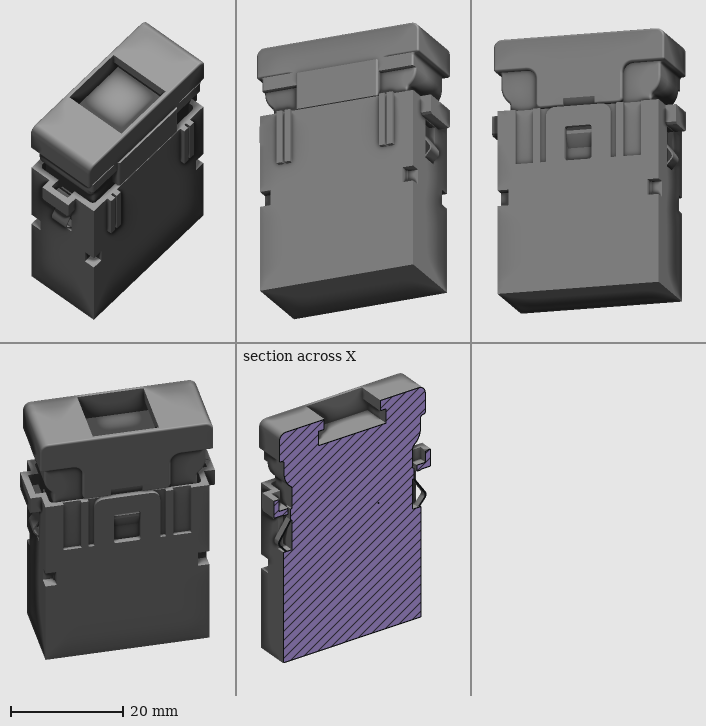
import cadquery as cq
import math

total_height = 46.95
body_width = 14.65
body_length = 30.0
body_height = 33.65
lug_reach = 1.995

end_wall = 1.1
side_wall = 1.05
socket_floor = 22.6
socket_corner = 0.85

recess_depth = 0.7
recess_floor = 23.65
pad_near = 8.4
pad_far = 11.7
slot_near = 6.0
slot_far = 7.1
tongue_corner = 1.7
slot_corner = 0.15
window_width = 5.0
window_top = 29.95
window_corner = 0.45

notch_width = 2.1
notch_length = 2.05
notch_bottom = 16.2
notch_height = 2.85
post_width = 0.5
post_length = 0.25

rib_reach = 0.95
rib_thickness = 1.1
rib_centres = (9.25, 10.8)

lug_height = 3.55
lug_wall = 1.17
lug_chamfer = 0.38
front_lug_width = 6.1
rear_lug_width = 8.15
arrow_size = 0.95
arrow_depth = 0.1
clip_slot_width = 4.15
clip_width = 3.4
clip_sheet = 0.35
clip_tip_radius = 1.05
clip_inner_radius = 0.75
clip_top = 31.0
clip_root = (-13.45, 28.75)
clip_tip = (-16.3, 24.6)
clip_end = (-14.55, 22.65)

cap_min_x = -6.9
cap_max_x = 6.95
cap_half_length = 15.85
cap_bottom = 41.15
cap_top_radius = 1.5
cap_bottom_radius = 0.38
side_edge_radius = 0.38
apron_half = 8.05
apron_gap = 0.2
apron_inner_radius = 1.9
apron_outer_radius = 0.85
outer_apron_reach = 0.38
outer_apron_top = 40.8
neck_half_width = 5.77
neck_half_length = 14.85
foot_half_length = 13.15
neck_edge_radius = 0.4
neck_flare = 0.5
shoulder_top = 38.5
shoulder_radius = 3.8
ankle_radius = 0.9
neck_step = 38.65

label_width = 12.2
label_length = 12.1
label_depth = 5.0
label_lip = 2.15
label_undercut = 1.17
latch_half_width = 2.9
latch_height = 1.4
latch_depth = 0.75
hook_width = 4.7
hook_top = 29.25
hook_nose = 28.65
hook_heel = 26.25
hook_reach = 1.05

half_width = body_width / 2
half_length = body_length / 2
cap_centre_x = (cap_min_x + cap_max_x) / 2
apron_bottom = body_height + apron_gap


def block(x0, x1, y0, y1, z0, z1):
    """Axis-aligned box between two opposite corners."""
    size = (x1 - x0, y1 - y0, z1 - z0)
    return cq.Workplane("XY").box(*size, centered=False).translate((x0, y0, z0))


def side_panel(x0, x1, points):
    """Prism of a YZ outline running from x0 to x1."""
    return cq.Workplane("YZ").polyline(points).close().extrude(x1 - x0).translate((x0, 0, 0))


def mirror_y(shape):
    """Shape together with its mirror image across the XZ plane."""
    return shape.union(shape.mirror("XZ"))



def make_lug(width):
    """Lug on the -Y end, flush with the body top."""
    lug = block(-width / 2, width / 2, -half_length - lug_reach, -half_length + end_wall,
                body_height - lug_height, body_height)
    return lug.edges("|Y and <Z").chamfer(lug_chamfer)


def make_lug_pocket(width):
    """Widening of the socket into the hollow lug."""
    half = width / 2 - lug_wall
    return block(-half, half, -half_length - lug_reach + lug_wall, -half_length + end_wall,
                 body_height - lug_height + lug_wall, body_height)


def make_socket():
    """Rounded well in the body top."""
    socket = block(-half_width + side_wall, half_width - side_wall,
                   -half_length + end_wall, half_length - end_wall, socket_floor, body_height)
    return socket.edges("|Z").fillet(socket_corner)


def make_arrow():
    """Shallow triangular mark on the top of the -Y lug wall."""
    base = -half_length - lug_reach + lug_wall
    outline = [(-arrow_size, base), (0, base - arrow_size), (arrow_size, base)]
    arrow = cq.Workplane("XY").polyline(outline).close().extrude(arrow_depth)
    return arrow.translate((0, 0, body_height - arrow_depth))


def make_wall_recesses():
    """Wide pads and narrow slots beside the tongue, cut into the -X wall."""
    inner = -half_width + recess_depth
    pad = block(-half_width, inner, pad_near, pad_far, recess_floor, body_height)
    slot = block(-half_width, inner, slot_near, slot_far, recess_floor, body_height)
    slot = slot.edges("|X and <Z").fillet(slot_corner)
    rounding = block(-half_width, inner, slot_near - tongue_corner, slot_near,
                     body_height - tongue_corner, body_height)
    tongue_end = cq.Workplane("YZ").circle(tongue_corner).extrude(recess_depth)
    tongue_end = tongue_end.translate((-half_width, slot_near - tongue_corner, body_height - tongue_corner))
    return mirror_y(pad.union(slot).union(rounding.cut(tongue_end)))


def make_latch_window():
    """Window through the -X wall into the socket."""
    window = block(-half_width, -half_width + side_wall, -window_width / 2, window_width / 2,
                   recess_floor, window_top)
    return window.edges("|X").fillet(window_corner)


def make_corner_notch():
    """Notch at the -X, -Y corner with a small post in its inner corner."""
    x_in = -half_width + notch_width
    y_in = -half_length + notch_length
    top = notch_bottom + notch_height
    notch = block(-half_width, x_in, -half_length, y_in, notch_bottom, top)
    post = block(x_in - post_width, x_in, y_in - post_length, y_in, notch_bottom, top)
    return notch.cut(post)


def make_ribs():
    """Two pairs of upright ribs on the +X face."""
    ribs = cq.Workplane("XY")
    for centre in rib_centres:
        ribs = ribs.union(block(half_width - side_wall, half_width + rib_reach,
                                centre - rib_thickness / 2, centre + rib_thickness / 2,
                                recess_floor, body_height))
    return mirror_y(ribs)


def make_body():
    """Hollow-topped body with its lugs, ribs, recesses and notches."""
    body = block(-half_width, half_width, -half_length, half_length, 0, body_height)
    front_lug = make_lug(front_lug_width)
    rear_lug = make_lug(rear_lug_width).mirror("XZ")
    body = body.union(front_lug).union(rear_lug).union(make_ribs())
    body = body.cut(make_socket())
    body = body.cut(make_lug_pocket(front_lug_width))
    body = body.cut(make_lug_pocket(rear_lug_width).mirror("XZ"))
    body = body.cut(make_arrow()).cut(make_wall_recesses()).cut(make_latch_window())
    clip_slot = block(-clip_slot_width / 2, clip_slot_width / 2, -half_length, -half_length + end_wall,
                      socket_floor, window_top)
    notches = make_corner_notch()
    notches = notches.union(notches.mirror("YZ"))
    return body.cut(mirror_y(clip_slot)).cut(mirror_y(notches))



def make_cap():
    """Cap bar with a middle apron on each side, drawn as one T-shaped outline."""
    outline = [
        (-cap_half_length, total_height), (-cap_half_length, cap_bottom),
        (-apron_half, cap_bottom), (-apron_half, apron_bottom),
        (apron_half, apron_bottom), (apron_half, cap_bottom),
        (cap_half_length, cap_bottom), (cap_half_length, total_height),
    ]
    cap = side_panel(cap_min_x, cap_max_x, outline)
    cap = cap.edges("|X and >Z").fillet(cap_top_radius)
    cap = cap.edges("|X and <Z").fillet(apron_outer_radius)
    inner_zone = cq.selectors.BoxSelector((cap_min_x, -neck_half_length, cap_bottom - side_edge_radius),
                                          (cap_max_x, neck_half_length, cap_bottom + side_edge_radius))
    cap = cap.edges("|X").edges(inner_zone).fillet(apron_inner_radius)
    lower_zone = cq.selectors.BoxSelector((cap_min_x, -total_height, cap_bottom - side_edge_radius),
                                          (cap_max_x, total_height, cap_bottom + side_edge_radius))
    cap = cap.edges("|X").edges(lower_zone).edges("<Y or >Y").fillet(cap_bottom_radius)
    return cap.faces("<X or >X").edges().fillet(side_edge_radius)


def make_neck(x_min, x_max):
    """Neck slab from x_min to x_max whose ends curve in from the cap to a narrower foot inside the socket."""
    bend = math.acos(1 - (neck_half_length - foot_half_length) / (shoulder_radius + ankle_radius))
    shoulder_y = neck_half_length - shoulder_radius
    ankle_y = foot_half_length + ankle_radius
    ankle_z = shoulder_top - (shoulder_radius + ankle_radius) * math.sin(bend)

    def on_shoulder(angle):
        return (shoulder_y + shoulder_radius * math.cos(angle),
                shoulder_top - shoulder_radius * math.sin(angle))

    def on_ankle(angle):
        return (ankle_y - ankle_radius * math.cos(angle),
                ankle_z + ankle_radius * math.sin(angle))

    flare_mid = neck_flare * (1 - math.sqrt(0.5))
    half = (
        cq.Workplane("YZ")
        .moveTo(0, cap_bottom)
        .lineTo(neck_half_length + neck_flare, cap_bottom)
        .threePointArc((neck_half_length + flare_mid, cap_bottom - flare_mid),
                       (neck_half_length, cap_bottom - neck_flare))
        .lineTo(neck_half_length, shoulder_top)
        .threePointArc(on_shoulder(bend / 2), on_shoulder(bend))
        .threePointArc(on_ankle(bend / 2), on_ankle(0))
        .lineTo(foot_half_length, socket_floor)
        .lineTo(0, socket_floor)
        .close()
        .extrude(x_max - x_min)
    )
    neck = mirror_y(half).clean().translate((x_min, 0, 0))
    return neck.faces("<X or >X").edges("not(>Z or <Z)").fillet(neck_edge_radius)


def make_neck_side():
    """Flush upper strip of the neck on the +X side and the thicker apron below the cap there."""
    upper_zone = block(0, cap_max_x, -cap_half_length, cap_half_length, neck_step, cap_bottom)
    strip = make_neck(0, cap_max_x).intersect(upper_zone)
    apron = block(0, cap_max_x + outer_apron_reach, -apron_half, apron_half, apron_bottom, outer_apron_top)
    apron = apron.edges("|Z and >X").fillet(side_edge_radius)
    return strip.union(apron)


def make_label_recess():
    """Pocket in the cap top, undercut below its lip at both ends."""
    x0 = cap_centre_x - label_width / 2
    x1 = cap_centre_x + label_width / 2
    half = label_length / 2
    floor = total_height - label_depth
    opening = block(x0, x1, -half, half, floor, total_height)
    undercut = block(x0, x1, -half - label_undercut, half + label_undercut, floor, total_height - label_lip)
    return opening.union(undercut)


def make_latch_notch():
    """Sloped notch at the bottom of the -X apron."""
    top = apron_bottom + latch_height
    outline = [(cap_min_x, top), (cap_min_x, apron_bottom), (cap_min_x + latch_depth, apron_bottom)]
    return cq.Workplane("XZ").polyline(outline).close().extrude(latch_half_width, both=True)


def make_hook():
    """Catch on the neck, seen through the window in the -X wall."""
    nose_x = -neck_half_width - hook_reach
    outline = [(0, hook_top), (nose_x, hook_top), (nose_x, hook_nose), (-neck_half_width, hook_heel), (0, hook_heel)]
    return cq.Workplane("XZ").polyline(outline).close().extrude(hook_width / 2, both=True)


def make_clip():
    """Bent spring sheet that leaves the neck and bulges out of the slot in the -Y wall."""
    outer = [(clip_root[0], clip_top), clip_root, clip_tip, clip_end]
    inner = [(y + clip_sheet, z) for y, z in reversed(outer)]
    clip = side_panel(-clip_width / 2, clip_width / 2, outer + inner)
    clip = clip.edges("|X").edges("<<Y[-2]").fillet(clip_inner_radius)
    return clip.edges("|X").edges("<Y").fillet(clip_tip_radius)


def make_head():
    """Cap, neck, hook and spring clips, with the label recess and latch notch cut out."""
    head = make_cap().union(make_neck(-neck_half_width, neck_half_width)).union(make_neck_side())
    head = head.union(make_hook()).union(mirror_y(make_clip()))
    return head.cut(make_label_recess()).cut(make_latch_notch())


result = make_body().union(make_head())